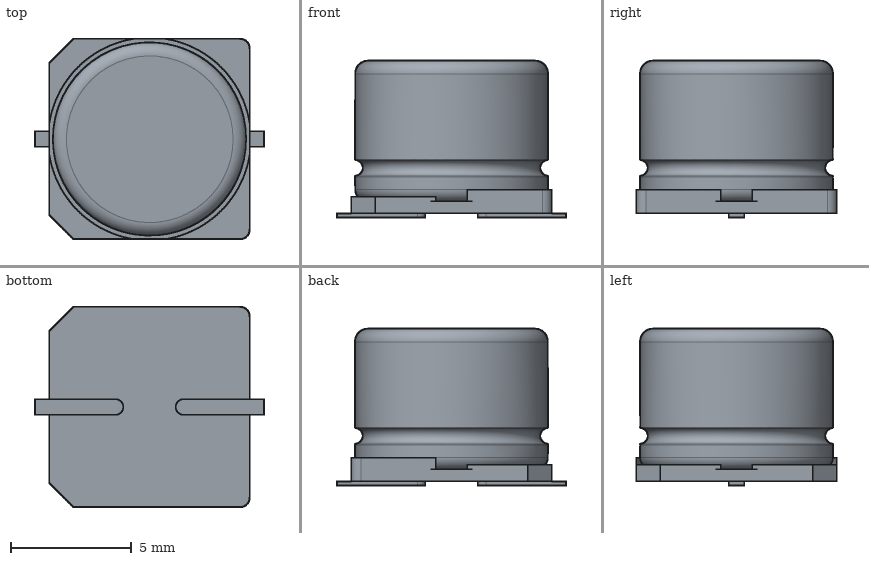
import cadquery as cq

TOTAL_HEIGHT = 6.5
LEAD_THICKNESS = 0.17
SEAT_HEIGHT = 0.67
LOW_CORNER_HEIGHT = 0.86
HIGH_CORNER_HEIGHT = 1.15

BASE_SIZE = 8.3
BASE_CHAMFER = 1.0
BASE_CORNER_RADIUS = 0.4
SEAT_RADIUS = 4.2

CAN_RADIUS = 8.0 / 2
CAN_TOP_FILLET = 0.55
CAN_BOTTOM_FILLET = 0.5
GROOVE_RADIUS = 0.32
GROOVE_LIP_FILLET = 0.05
GROOVE_HEIGHT = 2.055

LEAD_SPAN = 9.5
LEAD_WIDTH = 0.65
LEAD_INNER_GAP = 2.17


def make_base():
    """Square plate with two chamfered corners, raised +X corners and a round seat for the can."""
    plate = (
        cq.Workplane("XY", origin=(0, 0, LEAD_THICKNESS))
        .rect(BASE_SIZE, BASE_SIZE)
        .extrude(HIGH_CORNER_HEIGHT - LEAD_THICKNESS)
        .edges("|Z and <X")
        .chamfer(BASE_CHAMFER)
        .edges("|Z and >X")
        .fillet(BASE_CORNER_RADIUS)
    )
    step = (
        cq.Workplane("XY", origin=(-BASE_SIZE / 2, 0, LOW_CORNER_HEIGHT))
        .rect(BASE_SIZE, BASE_SIZE)
        .extrude(HIGH_CORNER_HEIGHT - LOW_CORNER_HEIGHT)
    )
    seat = (
        cq.Workplane("XY", origin=(0, 0, SEAT_HEIGHT))
        .circle(SEAT_RADIUS)
        .extrude(HIGH_CORNER_HEIGHT - SEAT_HEIGHT)
    )
    return plate.cut(step).cut(seat)


def make_can():
    """Cylindrical can with rounded ends and a half-round crimp groove with softened lips."""
    can = (
        cq.Workplane("XY", origin=(0, 0, SEAT_HEIGHT))
        .circle(CAN_RADIUS)
        .extrude(TOTAL_HEIGHT - SEAT_HEIGHT)
        .faces(">Z")
        .edges()
        .fillet(CAN_TOP_FILLET)
        .faces("<Z")
        .edges()
        .fillet(CAN_BOTTOM_FILLET)
    )
    groove = cq.Workplane("XY").add(
        cq.Solid.makeTorus(CAN_RADIUS, GROOVE_RADIUS, cq.Vector(0, 0, GROOVE_HEIGHT))
    )
    grooved_can = can.cut(groove)
    for lip_height in (GROOVE_HEIGHT - GROOVE_RADIUS, GROOVE_HEIGHT + GROOVE_RADIUS):
        lip_edge = cq.selectors.NearestToPointSelector((0, 0, lip_height))
        grooved_can = grooved_can.edges(lip_edge).fillet(GROOVE_LIP_FILLET)
    return grooved_can


def make_lead(side):
    """Flat lead under the base with a half-round inner end; side is +1 for +X and -1 for -X."""
    outer_x = LEAD_SPAN / 2
    round_center_x = (LEAD_INNER_GAP + LEAD_WIDTH) / 2
    strip = (
        cq.Workplane("XY")
        .center(side * (outer_x + round_center_x) / 2, 0)
        .rect(outer_x - round_center_x, LEAD_WIDTH)
        .extrude(LEAD_THICKNESS)
    )
    inner_end = (
        cq.Workplane("XY")
        .center(side * round_center_x, 0)
        .circle(LEAD_WIDTH / 2)
        .extrude(LEAD_THICKNESS)
    )
    return strip.union(inner_end)


result = make_base().union(make_can())
for lead_side in (-1, 1):
    result = result.union(make_lead(lead_side))